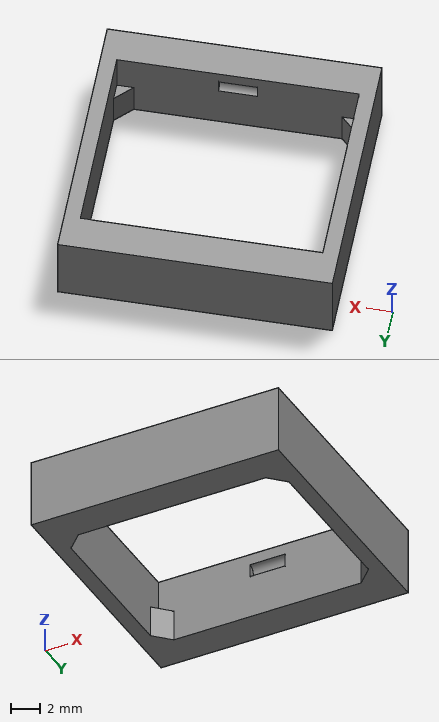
import cadquery as cq

side = 19.05
height = 5.2
window_x = 16.8
window_y = 14.0

post_leg = 1.18
post_height = 2.4

groove_length = 2.7
groove_radius = 0.5
groove_axis_depth = 1.35


def make_frame():
    frame = cq.Workplane("XY").rect(side, side).rect(window_x, window_y)
    return frame.extrude(height)


def corner_post(x_sign, y_sign):
    corner_x = x_sign * window_x / 2
    corner_y = y_sign * window_y / 2
    outline = [
        (corner_x, corner_y),
        (corner_x - x_sign * post_leg, corner_y),
        (corner_x, corner_y - y_sign * post_leg),
    ]
    return cq.Workplane("XY").polyline(outline).close().extrude(post_height)


def wall_groove(y_sign):
    """Cylinder along X, centred on the inner face of a thick wall."""
    return (
        cq.Workplane("YZ")
        .center(y_sign * window_y / 2, height - groove_axis_depth)
        .circle(groove_radius)
        .extrude(groove_length / 2, both=True)
    )


result = make_frame()
for y_sign in (-1, 1):
    for x_sign in (-1, 1):
        result = result.union(corner_post(x_sign, y_sign))
    result = result.cut(wall_groove(y_sign))